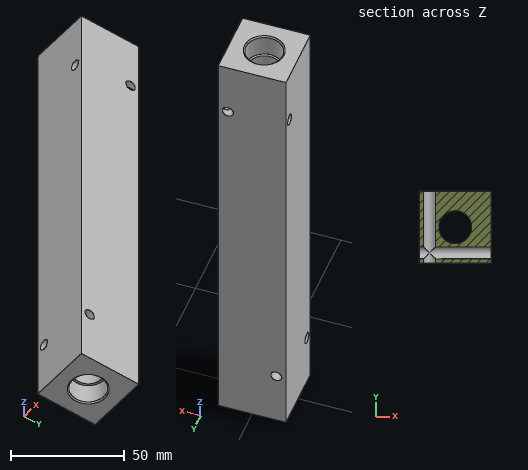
import cadquery as cq

INCH = 25.4

bar_width = 1.25 * INCH
bar_length = 8.25 * INCH

bore_diameter = 0.5625 * INCH
port_diameter = 17.145
port_depth = 10.4
port_taper = 1 / 16
mouth_diameter = 18.4
mouth_chamfer = (mouth_diameter - port_diameter) / 2
port_floor_diameter = port_diameter - port_taper * (port_depth - mouth_chamfer)

cross_hole_diameter = 5.1
cross_hole_edge_distance = 0.18 * INCH
cross_hole_end_distance = 1.0625 * INCH
cross_hole_offset = bar_width / 2 - cross_hole_edge_distance


def make_bar():
    return cq.Workplane("XY").rect(bar_width, bar_width).extrude(bar_length)


def make_bore():
    """Through bore and both end ports, as a half profile revolved about Z."""
    bore_radius = bore_diameter / 2
    bottom_port = [
        (mouth_diameter / 2, 0),
        (port_diameter / 2, mouth_chamfer),
        (port_floor_diameter / 2, port_depth),
        (bore_radius, port_depth),
    ]
    top_port = [(radius, bar_length - depth) for radius, depth in reversed(bottom_port)]
    profile = [(0, 0)] + bottom_port + top_port + [(0, bar_length)]
    return cq.Workplane("XZ").polyline(profile).close().revolve(360, (0, 0), (0, 1))


def make_cross_holes(side, height):
    """One hole along X and one along Y, both offset towards the given side."""
    offset = side * cross_hole_offset
    radius = cross_hole_diameter / 2
    start = -bar_width / 2
    along_y = cq.Solid.makeCylinder(
        radius, bar_width, cq.Vector(offset, start, height), cq.Vector(0, 1, 0)
    )
    along_x = cq.Solid.makeCylinder(
        radius, bar_width, cq.Vector(start, offset, height), cq.Vector(1, 0, 0)
    )
    return cq.Workplane(along_y).union(cq.Workplane(along_x))


result = make_bar().cut(make_bore())
for side, height in (
    (-1, cross_hole_end_distance),
    (1, bar_length - cross_hole_end_distance),
):
    result = result.cut(make_cross_holes(side, height))